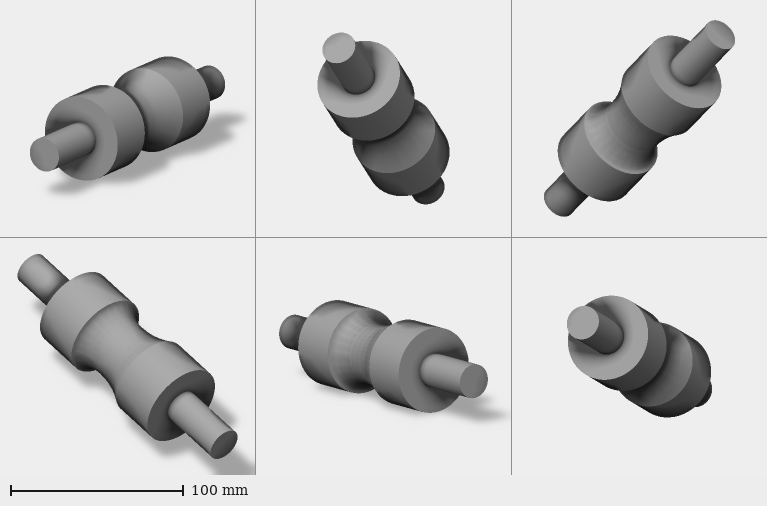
import cadquery as cq
import math

total_length = 180.0
shaft_diameter = 20.0
body_diameter = 50.0
body_length = 100.0
drum_length = 29.3
waist_diameter = 36.0
front_flare_length = 14.4

shaft_radius = shaft_diameter / 2
body_radius = body_diameter / 2
waist_radius = waist_diameter / 2
flare_height = body_radius - waist_radius

shaft_end = total_length / 2
body_end = body_length / 2
drum_inner_face = body_end - drum_length
waist_y = -drum_inner_face + front_flare_length
back_flare_length = drum_inner_face - waist_y

back_flare_radius = (back_flare_length**2 + flare_height**2) / (2 * flare_height)
half_sweep = math.asin(back_flare_length / back_flare_radius) / 2
back_arc_middle = (
    waist_radius + back_flare_radius * (1 - math.cos(half_sweep)),
    waist_y + back_flare_radius * math.sin(half_sweep),
)

profile = (
    cq.Workplane("XY")
    .moveTo(0, -shaft_end)
    .lineTo(shaft_radius, -shaft_end)
    .lineTo(shaft_radius, -body_end)
    .lineTo(body_radius, -body_end)
    .lineTo(body_radius, -drum_inner_face)
    .ellipseArc(flare_height, front_flare_length, 180, 270, sense=-1, startAtCurrent=True)
    .threePointArc(back_arc_middle, (body_radius, drum_inner_face))
    .lineTo(body_radius, body_end)
    .lineTo(shaft_radius, body_end)
    .lineTo(shaft_radius, shaft_end)
    .lineTo(0, shaft_end)
    .close()
)

result = profile.revolve(360, (0, 0, 0), (0, 1, 0))